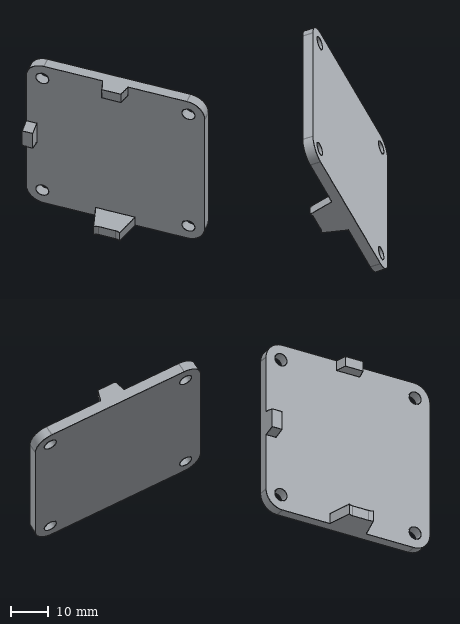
import cadquery as cq
import math

side = 50.0
plate_thickness = 3.0
corner_radius = 5.0
hole_diameter = 3.6
hole_inset = 4.55

tab_thickness = 3.0
tab_taper = math.tan(math.radians(15))
small_tab_base = 7.1
small_tab_depth = 3.2
large_tab_base = 11.1
large_tab_depth = 7.05
tip_recess_depth = 0.45
tip_flat_width = 4.85

half_side = side / 2
hole_spacing = side - 2 * hole_inset


def make_plate():
    """Rounded plate with its front face at Y = 0 and four corner holes."""
    plate = cq.Workplane("XY").box(side, plate_thickness, side, centered=(True, False, True))
    plate = plate.edges("|Y").fillet(corner_radius)
    holes = (
        cq.Workplane("XZ")
        .rect(hole_spacing, hole_spacing, forConstruction=True)
        .vertices()
        .circle(hole_diameter / 2)
        .extrude(-plate_thickness)
    )
    return plate.cut(holes)


def half_tip_width(base_width, depth):
    return base_width / 2 - depth * tab_taper


def make_small_tab():
    """Trapezoidal tab flush with the bottom edge of the plate."""
    half_base = small_tab_base / 2
    half_tip = half_tip_width(small_tab_base, small_tab_depth)
    return (
        cq.Workplane("XY", origin=(0, 0, -half_side))
        .moveTo(-half_base, 0)
        .lineTo(-half_tip, -small_tab_depth)
        .lineTo(half_tip, -small_tab_depth)
        .lineTo(half_base, 0)
        .close()
        .extrude(tab_thickness)
    )


def make_large_tab():
    """Bottom tab whose recessed tip curves out to two pointed corners."""
    half_base = large_tab_base / 2
    half_tip = half_tip_width(large_tab_base, large_tab_depth)
    half_flat = tip_flat_width / 2
    flat_y = tip_recess_depth - large_tab_depth

    run = half_tip - half_flat
    radius = (run**2 + tip_recess_depth**2) / (2 * tip_recess_depth)
    half_angle = math.asin(run / radius) / 2
    curve_x = half_flat + radius * math.sin(half_angle)
    curve_y = flat_y - radius * (1 - math.cos(half_angle))

    return (
        cq.Workplane("XY", origin=(0, 0, -half_side))
        .moveTo(-half_base, 0)
        .lineTo(-half_tip, -large_tab_depth)
        .threePointArc((-curve_x, curve_y), (-half_flat, flat_y))
        .lineTo(half_flat, flat_y)
        .threePointArc((curve_x, curve_y), (half_tip, -large_tab_depth))
        .lineTo(half_base, 0)
        .close()
        .extrude(tab_thickness)
    )


result = make_plate().union(make_large_tab())

for turn in (90, 180):
    result = result.union(make_small_tab().rotate((0, 0, 0), (0, 1, 0), turn))